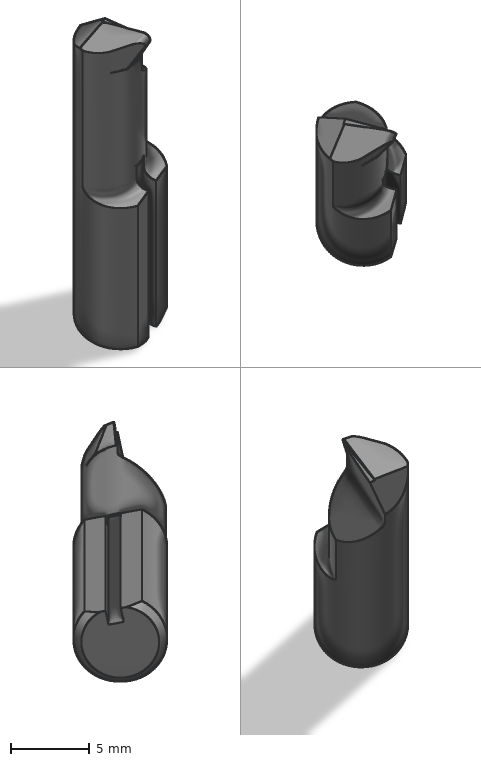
import cadquery as cq
import math

length = 30.0
shank_radius = 3.0
flat_x = 2.35
end_chamfer = 0.5

neck_radius = 2.73
neck_x = -1.23
shoulder_z = 14.82
shoulder_fillet = 0.75

slot_width = 1.0
slot_floor_x = 1.35
slot_end_z = 16.8

head_face_y = 0.12
runout_z = 25.85
runout_angle = 49.0
runout_radius = 1.35

tip_x = 2.2
tip_y = 0.0
tip_bottom_z = 27.42
tip_radius = 0.48
lead_angle = 8.0
back_angle = 21.0
front_clearance = 8.0
side_clearance = 10.0
flank_x = 0.5

nose_chamfer_z = 27.75
rake_left_y = -0.25
rake_floor_z = 29.52

margin = 2 * shank_radius

flank_y = -math.sqrt(neck_radius**2 - (flank_x - neck_x) ** 2)


def slope(angle):
    return math.tan(math.radians(angle))


def box(x_min, x_max, y_min, y_max, z_min, z_max):
    size = (x_max - x_min, y_max - y_min, z_max - z_min)
    return cq.Workplane("XY").box(*size, centered=False).translate((x_min, y_min, z_min))


corner_x = tip_x - tip_radius
corner_z = length - tip_radius
lead = math.radians(lead_angle)
back = math.radians(back_angle)
corner_start = (corner_x - tip_radius * math.sin(lead), corner_z + tip_radius * math.cos(lead))
corner_end = (corner_x + tip_radius * math.cos(back), corner_z - tip_radius * math.sin(back))
corner_middle_angle = (math.pi / 2 + lead - back) / 2
corner_middle = (
    corner_x + tip_radius * math.cos(corner_middle_angle),
    corner_z + tip_radius * math.sin(corner_middle_angle),
)


def front_z(x):
    """Height of the lead line at x."""
    return corner_start[1] - (corner_start[0] - x) * slope(lead_angle)


def make_shank():
    shank = cq.Workplane("XY").circle(shank_radius).extrude(length).faces("<Z").chamfer(end_chamfer)
    return shank.cut(box(flat_x, margin, -margin, margin, 0, length))


def make_neck_cutter():
    """Everything outside the off-centre neck, with a fillet above the shoulder."""
    outer = neck_radius + margin
    bend = shoulder_fillet * (1 - math.sqrt(0.5))
    return (
        cq.Workplane("XZ")
        .moveTo(neck_radius, length)
        .lineTo(neck_radius, shoulder_z + shoulder_fillet)
        .threePointArc(
            (neck_radius + bend, shoulder_z + bend),
            (neck_radius + shoulder_fillet, shoulder_z),
        )
        .lineTo(outer, shoulder_z)
        .lineTo(outer, length)
        .close()
        .revolve(360, (0, 0), (0, 1))
        .translate((neck_x, 0, 0))
    )


def make_tip_block():
    """Block that carries the tip out past the neck."""
    return box(neck_x, tip_x, flank_y, tip_y, tip_bottom_z, length)


def make_flank_cutter():
    """Everything on the outer side of the upright 45-degree flank."""
    return (
        cq.Workplane("XY", origin=(flank_x, flank_y, tip_bottom_z))
        .polyline([(-margin, -margin), (margin, margin), (margin, -margin)])
        .close()
        .extrude(length - tip_bottom_z)
    )


def make_head_envelope():
    """Tip outline swept obliquely towards -Y, which gives the clearance faces."""
    foot_z = tip_bottom_z - margin
    foot_x = corner_end[0] - (corner_end[1] - foot_z) * slope(back_angle)
    shift = (-slope(side_clearance), -1, -slope(front_clearance))
    outline = (
        cq.Workplane("XZ", origin=(0, tip_y, 0))
        .moveTo(foot_x, foot_z)
        .lineTo(*corner_end)
        .threePointArc(corner_middle, corner_start)
        .lineTo(-margin, front_z(-margin))
        .lineTo(-margin, foot_z)
        .close()
    )
    sweep = cq.Vector(*shift) * (2 * margin)
    start = cq.Vector(*shift) * -margin
    prism = cq.Solid.extrudeLinear(outline.wires().val(), [], sweep).translate(start)
    return cq.Workplane(prism)


def make_half_cutter():
    """Removes the +Y half of the head down to a rounded, sloping run-out."""
    end_y = margin
    end_z = runout_z - (end_y - head_face_y) * slope(runout_angle)
    top_z = length + margin
    return (
        cq.Workplane("YZ", origin=(-margin, 0, 0))
        .polyline([(head_face_y, top_z), (head_face_y, runout_z), (end_y, end_z), (end_y, top_z)])
        .close()
        .extrude(2 * margin)
        .edges("|X")
        .edges(cq.selectors.NearestToPointSelector((0, head_face_y, runout_z)))
        .fillet(runout_radius)
    )


def make_nose_cutter():
    """Everything above the 45-degree chamfer on the -X side of the nose."""
    top_z = length + margin
    top_x = -shank_radius + top_z - nose_chamfer_z
    return (
        cq.Workplane("XZ", origin=(0, margin, 0))
        .moveTo(-shank_radius, nose_chamfer_z)
        .lineTo(top_x, top_z)
        .lineTo(-margin, top_z)
        .lineTo(-margin, nose_chamfer_z)
        .close()
        .extrude(2 * margin)
    )


def make_rake_cutter():
    """Step along the front edge, backed by an upright rake face that runs obliquely to the tip."""
    left_x = rake_floor_z - nose_chamfer_z - shank_radius
    return (
        cq.Workplane("XY", origin=(0, 0, rake_floor_z))
        .moveTo(left_x, rake_left_y)
        .lineTo(corner_x, tip_y)
        .lineTo(tip_x, tip_y)
        .lineTo(tip_x, margin)
        .lineTo(left_x, margin)
        .close()
        .extrude(margin)
    )


slot = box(slot_floor_x, margin, -slot_width / 2, slot_width / 2, 0, slot_end_z)
above_tip_bottom = box(-margin, margin, -margin, margin, tip_bottom_z, length + margin)

bar = make_shank().cut(make_neck_cutter()).cut(slot).cut(make_half_cutter())
head = bar.intersect(above_tip_bottom).union(make_tip_block()).cut(make_flank_cutter())
head = head.intersect(make_head_envelope()).cut(make_rake_cutter())
result = bar.cut(above_tip_bottom).union(head).cut(make_nose_cutter())